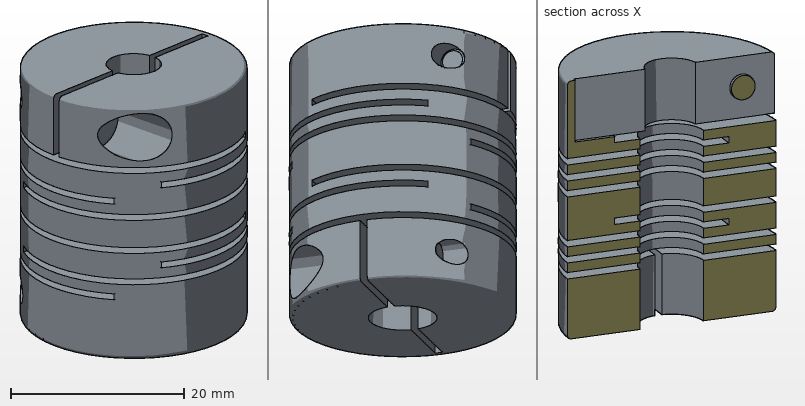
import cadquery as cq

length = 31.5
outer_radius = 13.1
edge_round = 0.5

slit_width = 0.72
slit_pitch = 1.95
group_spacing = 10.0
slit_reach = 7.12
first_slit_depth = 7.88
hub_height = first_slit_depth - slit_width / 2
slit_groups = [
    (-90, 90, 180, 0),
    (-90, 90, 0, 180),
]

upper_bore_radius = 3.18
lower_bore_radius = 3.97

clamp_slot_width = 0.88
clamp_slot_end = 12.05
screw_offset = 8.98
screw_depth = 3.72
screw_radius = 1.5
screw_tip_chamfer = 0.28
screw_tip_setback = 7.8
head_bore_radius = 2.95
head_seat_setback = 3.15


def make_body():
    """Round-edged cylinder with its stepped bore."""
    body = cq.Workplane("XY").circle(outer_radius).extrude(length)
    body = body.faces("<Z or >Z").edges().fillet(edge_round)
    upper_bore = cq.Workplane("XY").circle(upper_bore_radius).extrude(length)
    lower_bore = cq.Workplane("XY").circle(lower_bore_radius).extrude(length - hub_height)
    return body.cut(upper_bore).cut(lower_bore)


def make_slit(open_angle, z):
    """Flat cut centred on height z, open on the side that faces open_angle."""
    return (
        cq.Workplane("XY")
        .box(2 * outer_radius, 2 * outer_radius, slit_width, centered=(False, True, True))
        .translate((-slit_reach, 0, z))
        .rotate((0, 0, 0), (0, 0, 1), open_angle)
    )


def screw_axis_cylinder(radius, start_x, end_x):
    """Cylinder along X on the axis of the upper clamp screw."""
    return (
        cq.Workplane("YZ", origin=(start_x, -screw_offset, length - screw_depth))
        .circle(radius)
        .extrude(end_x - start_x)
    )


def make_clamp_cut():
    """Upper clamp slot with the screw hole and the screw head bore."""
    slot = (
        cq.Workplane("XY")
        .box(clamp_slot_width, outer_radius + clamp_slot_end, hub_height, centered=(True, False, False))
        .translate((0, -outer_radius, length - hub_height))
    )
    screw_hole = screw_axis_cylinder(screw_radius, -outer_radius, head_seat_setback)
    head_bore = screw_axis_cylinder(head_bore_radius, head_seat_setback, outer_radius)
    return slot.union(screw_hole).union(head_bore)


def make_screw():
    """Upper screw shank, ending level with the head seat and fused to its hole."""
    shank = screw_axis_cylinder(screw_radius, -screw_tip_setback, head_seat_setback)
    return shank.faces("<X").chamfer(screw_tip_chamfer)


def to_lower_hub(shape):
    """Half turn about a diagonal at mid-height: swaps X with Y and top with bottom."""
    middle = length / 2
    return shape.rotate((0, 0, middle), (0.3, 0.3, middle), 180)


result = make_body()

for group, open_angles in enumerate(slit_groups):
    for index, open_angle in enumerate(open_angles):
        slit_depth = first_slit_depth + group * group_spacing + index * slit_pitch
        result = result.cut(make_slit(open_angle, length - slit_depth))

clamp_cut = make_clamp_cut()
result = result.cut(clamp_cut).cut(to_lower_hub(clamp_cut))

screw = make_screw()
result = result.union(screw).union(to_lower_hub(screw))